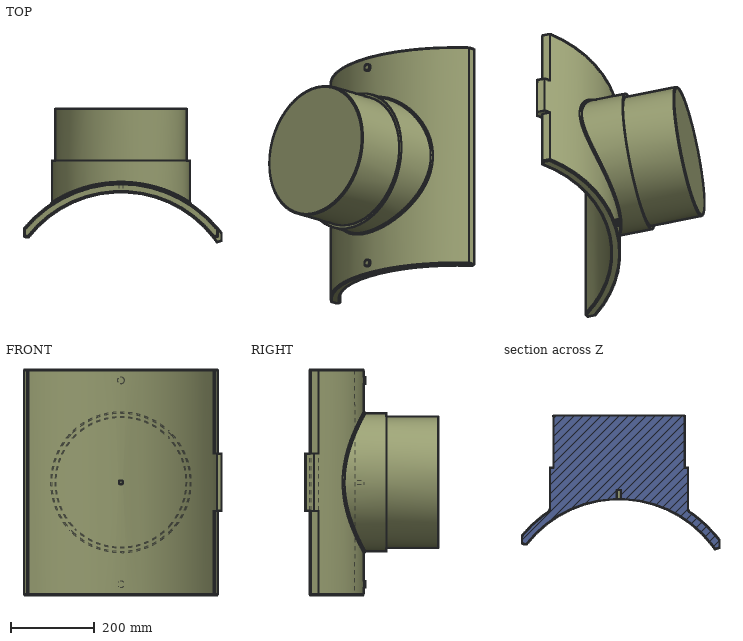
import cadquery as cq
import math

saddle_length = 540
inner_radius = 279.5
wall = 21.5
outer_radius = inner_radius + wall
saddle_half_width = 231.5
tip_inset = 11.0
side_face_height = 18.5
tip_bevel_width = 4.0
tip_bevel_drop = 3.0
saddle_edge_chamfer = 2.5

tab_half_width = 240.5
tab_length = 136.5

collar_diameter = 330.5
collar_end = 355.0
spigot_diameter = 315.0
spigot_end = 480.0
spigot_chamfer = 2.0
weld_chamfer = 3.0

pin_diameter = 16
pin_height = 4.0
pin_offset = 243.5
pilot_diameter = 9.5


def arc_y(radius, x):
    """Height above the cylinder axis of a point on the arc."""
    return math.sqrt(radius**2 - x**2)


def tip_points(half_width, bevelled):
    """Corners of the +X tip, from the outer arc round to the inner arc."""
    outer_y = arc_y(outer_radius, half_width)
    side_bottom_y = outer_y - side_face_height
    inner_x = half_width - tip_inset
    points = [(half_width, outer_y), (half_width, side_bottom_y)]
    if bevelled:
        points.append((inner_x + tip_bevel_width, side_bottom_y - tip_bevel_drop))
    points.append((inner_x, arc_y(inner_radius, inner_x)))
    return points


def arc_band(half_left, half_right, length, bevelled):
    """Curved band with vertical side faces and sloping lower tips, centred on Z = 0."""
    right_tip = tip_points(half_right, bevelled)
    left_tip = [(-x, y) for x, y in tip_points(half_left, bevelled)]
    profile = cq.Workplane("XY").moveTo(*left_tip[0])
    profile = profile.threePointArc((0, outer_radius), right_tip[0])
    for point in right_tip[1:]:
        profile = profile.lineTo(*point)
    profile = profile.threePointArc((0, inner_radius), left_tip[-1])
    for point in reversed(left_tip[1:-1]):
        profile = profile.lineTo(*point)
    return profile.close().extrude(length / 2, both=True)


def rod(diameter, start, end, z=0):
    """Round bar along Y between two Y positions."""
    return (
        cq.Workplane("XZ", origin=(0, start, z))
        .circle(diameter / 2)
        .extrude(start - end)
    )


saddle = arc_band(saddle_half_width, saddle_half_width, saddle_length, bevelled=True)
saddle = saddle.faces("|Z").edges().chamfer(saddle_edge_chamfer)

wall_middle = inner_radius + wall / 2
root = arc_y(inner_radius, collar_diameter / 2)
saddle_core = cq.Workplane("XY").circle(wall_middle).extrude(saddle_length / 2, both=True)
collar = rod(collar_diameter, root, collar_end).cut(saddle_core)
body = saddle.union(collar)
seam_limit = (outer_radius + collar_end) / 2
seam_box = cq.selectors.BoxSelector(
    (-collar_diameter, root, -collar_diameter),
    (collar_diameter, seam_limit, collar_diameter),
    boundingbox=True,
)
body = body.edges(seam_box).chamfer(weld_chamfer)

spigot = rod(spigot_diameter, collar_end, spigot_end).faces(">Y").chamfer(spigot_chamfer)
body = body.union(spigot)

tab = arc_band(saddle_half_width - wall, tab_half_width, tab_length, bevelled=False)
body = body.union(tab)

for z in (-pin_offset, pin_offset):
    body = body.union(rod(pin_diameter, wall_middle, outer_radius + pin_height, z))

result = body.cut(rod(pilot_diameter, 0, outer_radius))